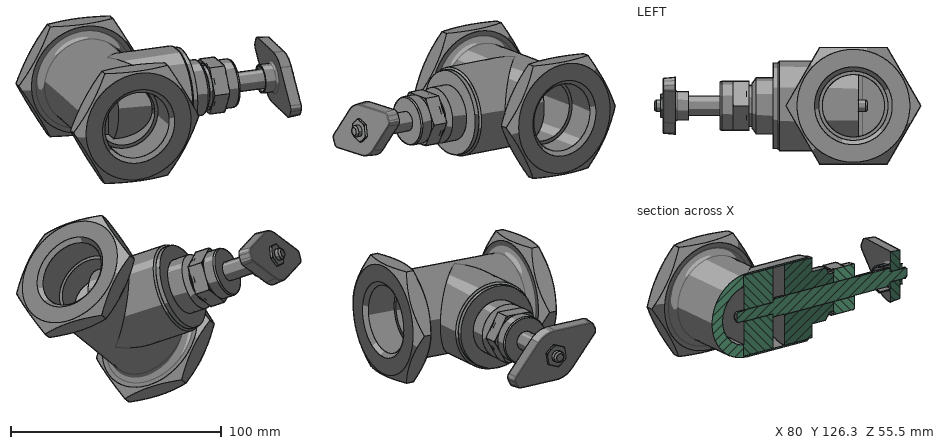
import cadquery as cq
import math


COS30 = math.cos(math.radians(30))
TAN30 = math.tan(math.radians(30))

pipe_length = 80.0
half_length = pipe_length / 2
pipe_radius = 21.3
collar_flats = 55.5
collar_width = 9.9
collar_face_radius = 26.8
collar_fillet = 3.2
branch_top = 35.9
branch_chamfer = 0.9
bore_radius = 14.8
thread_radius = 16.4
thread_mouth_radius = 18.5
thread_depth = 16.4
branch_bore_radius = 20.3

lip_height = 1.9
lip_slope = 28
wall_slope = 21
wall_offset = 3.8
wall_thickness = 3.8

disc_bottom = -2.4
disc_top = 15.2
bonnet_bottom = 21.5
flange_top = 38.0
shoulder_top = 48.1
neck_top = 49.5
gland_hex_top = 57.2
gland_top = 63.3
hub_bottom = 78.2
handle_bottom = 84.4
handle_top = 90.2
handle_nut_top = 91.5
stem_bottom = -6.7
stem_top = 126.3 - collar_flats / COS30 / 2

shoulder_radius = 13.4
shoulder_chamfer = 2.0
shoulder_top_radius = 10.6
neck_radius = 9.9
gland_flats = 23.4
gland_hex_face_radius = 12.9
gland_mouth_radius = 11.2
gland_mouth_depth = 1.3
gland_chamfer = 0.9
gland_chamfer_inset = 0.4

stem_radius = 4.7
stem_tip_radius = 2.8
stem_chamfer = 0.9

hub_radius = 6.8
hub_fillet = 1.0
hub_recess_radius = 6.1
grip_waist_radius = 12.4
grip_tip_reach = 24.4
grip_side_angle = 24
grip_tip_rounding = 2.4
grip_taper = 5
grip_edge_rounding = 0.4
grip_turn = -26
handle_nut_corner_radius = 5.7
handle_nut_face_radius = 5.3
handle_nut_turn = 20


def stem_axis_cylinder(radius, bottom, top):
    """Cylinder around the stem axis between two heights."""
    return cq.Workplane("XZ", origin=(0, bottom, 0)).circle(radius).extrude(bottom - top)


def stem_axis_turned(points):
    """Solid of revolution around the stem axis from (radius, height) points."""
    return cq.Workplane("XY").polyline(points).close().revolve(360, (0, 0, 0), (0, 1, 0))


def pipe_axis_cylinder(radius, start, end):
    """Cylinder around the pipe axis between two X positions."""
    return cq.Workplane("YZ", origin=(start, 0, 0)).circle(radius).extrude(end - start)


def stem_axis_hexagon(corner_radius, face_radius, bottom, top):
    """Hexagonal prism around the stem axis, its top corners turned off by a 30 degree cone."""
    chamfer = (corner_radius - face_radius) * TAN30
    prism = cq.Workplane("XZ", origin=(0, bottom, 0)).polygon(6, 2 * corner_radius).extrude(bottom - top)
    envelope = stem_axis_turned([
        (0, bottom),
        (corner_radius, bottom),
        (corner_radius, top - chamfer),
        (face_radius, top),
        (0, top),
    ])
    return prism.intersect(envelope)


def make_collar():
    """Hexagonal collar at the -X end, both faces coned, blended into the pipe by a fillet."""
    corner_radius = collar_flats / 2 / COS30
    chamfer = (corner_radius - collar_face_radius) * TAN30
    outer = -half_length
    inner = outer + collar_width
    prism = cq.Workplane("YZ", origin=(outer, 0, 0)).polygon(6, 2 * corner_radius).extrude(collar_width)
    envelope = (
        cq.Workplane("XY")
        .polyline([
            (outer, 0),
            (outer, collar_face_radius),
            (outer + chamfer, corner_radius),
            (inner - chamfer, corner_radius),
            (inner, collar_face_radius),
            (inner, 0),
        ])
        .close()
        .revolve(360, (0, 0, 0), (1, 0, 0))
    )
    fillet_ring = (
        cq.Workplane("XY")
        .moveTo(inner, 0)
        .lineTo(inner, pipe_radius + collar_fillet)
        .radiusArc((inner + collar_fillet, pipe_radius), -collar_fillet)
        .lineTo(inner + collar_fillet, 0)
        .close()
        .revolve(360, (0, 0, 0), (1, 0, 0))
    )
    return prism.intersect(envelope).union(fillet_ring)


def make_thread_recess():
    """Recess at the -X end: a 45 degree mouth and a straight stretch down to the bore."""
    outer = -half_length
    mouth_depth = thread_mouth_radius - thread_radius
    return (
        cq.Workplane("XY")
        .polyline([
            (outer, 0),
            (outer, thread_mouth_radius),
            (outer + mouth_depth, thread_radius),
            (outer + thread_depth, thread_radius),
            (outer + thread_depth, 0),
        ])
        .close()
        .revolve(360, (0, 0, 0), (1, 0, 0))
    )


def make_wall():
    """Sloping wall in the bore below the disc, with a steeper-leaning lip along its top."""
    lip_bottom = disc_bottom - lip_height
    lip_x = wall_offset + lip_height * math.tan(math.radians(lip_slope))
    foot_x = lip_x + (lip_bottom + bore_radius) * math.tan(math.radians(wall_slope))
    front = [(wall_offset, disc_bottom), (lip_x, lip_bottom), (foot_x, -bore_radius)]
    back = [(x + wall_thickness, y) for x, y in reversed(front)]
    return cq.Workplane("XY").polyline(front + back).close().extrude(bore_radius, both=True)


def make_body():
    """Tee-shaped body: pipe, two hexagonal collars, branch and internal passages."""
    pipe = pipe_axis_cylinder(pipe_radius, -half_length + collar_width, half_length - collar_width)
    branch = stem_axis_cylinder(pipe_radius, 0, branch_top).faces(">Y").chamfer(branch_chamfer)
    passage = pipe_axis_cylinder(bore_radius, -half_length, half_length).cut(make_wall())
    body = pipe.union(branch)
    collar = make_collar()
    recess = make_thread_recess()
    for end in (collar, collar.mirror("YZ")):
        body = body.union(end)
    for cutter in (passage, recess, recess.mirror("YZ")):
        body = body.cut(cutter)
    return body.cut(stem_axis_cylinder(branch_bore_radius, disc_bottom, branch_top))


def make_disc():
    """Closing disc that slides in the branch bore and is held on the lower stem tip."""
    disc = stem_axis_cylinder(branch_bore_radius, disc_bottom, disc_top)
    return disc.cut(stem_axis_cylinder(stem_tip_radius, disc_bottom, disc_top))


def make_bonnet():
    """Turned bonnet that plugs the branch and carries the gland nut on its neck."""
    return stem_axis_turned([
        (stem_radius, bonnet_bottom),
        (branch_bore_radius, bonnet_bottom),
        (branch_bore_radius, flange_top),
        (shoulder_radius, flange_top),
        (shoulder_radius, shoulder_top - shoulder_chamfer),
        (shoulder_top_radius, shoulder_top),
        (neck_radius, shoulder_top),
        (neck_radius, neck_top + gland_mouth_depth),
        (stem_radius, neck_top + gland_mouth_depth),
    ])


def make_gland_nut():
    """Hexagonal gland nut with a round, chamfered upper part."""
    upper_radius = gland_flats / 2
    hexagon = stem_axis_hexagon(upper_radius / COS30, gland_hex_face_radius, neck_top, gland_hex_top)
    upper = stem_axis_turned([
        (0, gland_hex_top),
        (upper_radius, gland_hex_top),
        (upper_radius, gland_top - gland_chamfer),
        (upper_radius - gland_chamfer_inset, gland_top),
        (0, gland_top),
    ])
    mouth = stem_axis_cylinder(gland_mouth_radius, neck_top, neck_top + gland_mouth_depth)
    stem_hole = stem_axis_cylinder(stem_radius, neck_top, gland_top)
    return hexagon.union(upper).cut(mouth).cut(stem_hole)


def make_stem():
    """Stem with a thinner, chamfered tip at each end for the disc and the handle."""
    tip_end_radius = stem_tip_radius - stem_chamfer
    return stem_axis_turned([
        (0, stem_bottom),
        (tip_end_radius, stem_bottom),
        (stem_tip_radius, stem_bottom + stem_chamfer),
        (stem_tip_radius, disc_top),
        (stem_radius, disc_top),
        (stem_radius, handle_bottom),
        (stem_tip_radius, handle_bottom),
        (stem_tip_radius, stem_top - stem_chamfer),
        (tip_end_radius, stem_top),
        (0, stem_top),
    ])


def make_handle():
    """Two-winged handle with drafted sides, on a hollow hub that blends into it."""
    side = math.radians(grip_side_angle)
    peak = grip_waist_radius / math.cos(side)
    tip_half_width = peak - grip_tip_reach * math.tan(side)
    outline = (
        cq.Sketch()
        .polygon([
            (grip_tip_reach, -tip_half_width),
            (grip_tip_reach, tip_half_width),
            (0, peak),
            (-grip_tip_reach, tip_half_width),
            (-grip_tip_reach, -tip_half_width),
            (0, -peak),
            (grip_tip_reach, -tip_half_width),
        ])
        .vertices(">Y or <Y")
        .fillet(grip_waist_radius)
        .reset()
        .vertices(">X or <X")
        .fillet(grip_tip_rounding)
    )
    grip = (
        cq.Workplane("XZ", origin=(0, handle_top, 0))
        .transformed(rotate=(0, 0, grip_turn))
        .placeSketch(outline)
        .extrude(handle_top - handle_bottom, taper=-grip_taper)
        .faces(">Y")
        .edges()
        .fillet(grip_edge_rounding)
    )
    hub = (
        cq.Workplane("XY")
        .moveTo(0, hub_bottom)
        .lineTo(hub_radius, hub_bottom)
        .lineTo(hub_radius, handle_bottom - hub_fillet)
        .radiusArc((hub_radius + hub_fillet, handle_bottom), hub_fillet)
        .lineTo(0, handle_bottom)
        .close()
        .revolve(360, (0, 0, 0), (0, 1, 0))
    )
    recess = stem_axis_cylinder(hub_recess_radius, hub_bottom, handle_bottom)
    stem_hole = stem_axis_cylinder(stem_tip_radius, handle_bottom, handle_top)
    return grip.union(hub).cut(recess).cut(stem_hole)


def make_handle_nut():
    """Thin hexagonal nut that holds the handle on the stem."""
    nut = stem_axis_hexagon(handle_nut_corner_radius, handle_nut_face_radius, handle_top, handle_nut_top)
    nut = nut.cut(stem_axis_cylinder(stem_tip_radius, handle_top, handle_nut_top))
    return nut.rotate((0, 0, 0), (0, 1, 0), -handle_nut_turn)


body = make_body()
disc = make_disc()
bonnet = make_bonnet()
gland_nut = make_gland_nut()
stem = make_stem()
handle = make_handle()
handle_nut = make_handle_nut()

result = cq.Compound.makeCompound([
    body.val(),
    disc.val(),
    bonnet.val(),
    gland_nut.val(),
    stem.val(),
    handle.val(),
    handle_nut.val(),
])